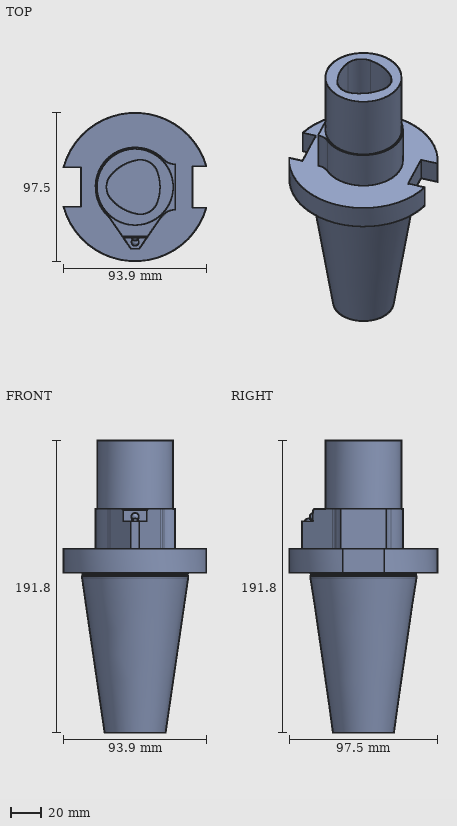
import cadquery as cq
import math


GAUGE_DIAMETER = 69.85
TAPER_RATIO = 7 / 24
TAPER_LENGTH = 101.75
COLLAR_HEIGHT = 0.9
GROOVE_DEPTH = 0.35
GROOVE_FLOOR_BOTTOM = 1.6
GROOVE_FLOOR_TOP = 2.6

FLANGE_DIAMETER = 97.5
FLANGE_BOTTOM = 3.2
FLANGE_TOP = 19.1
LEFT_SLOT_WIDTH = 25.7
LEFT_SLOT_FLOOR = 35.5
RIGHT_SLOT_WIDTH = 27.0
RIGHT_SLOT_FLOOR = 37.7

BODY_DIAMETER = 52.0
BODY_HEIGHT = 26.0
BODY_TOP = FLANGE_TOP + BODY_HEIGHT
BLEND_RADIUS = 10.0
LUG_REACH = 26.3
LUG_WIDTH = 30.0
NOSE_REACH = 40.4
NOSE_TIP_WIDTH = 5.6
NOSE_HALF_ANGLE = math.radians(34.5)

SEAT_FACE = 33.2
SEAT_FLOOR = FLANGE_TOP + 18.0
SEAT_CHAMFER = 1.0
BALL_RADIUS = 2.5
UPPER_BALL_CENTER = (0, -32.7, FLANGE_TOP + 20.9)
LOWER_BALL_CENTER = (0, -36.2, FLANGE_TOP + 17.2)

SLEEVE_DIAMETER = 50.0
SLEEVE_HEIGHT = 45.0
SLEEVE_TOP = BODY_TOP + SLEEVE_HEIGHT
SOCKET_LOBE_REACH = 18.8
SOCKET_FLANK_REACH = 16.4
SOCKET_LOBE_RADIUS = 11.8
SOCKET_DEPTH = 30.0


def cylinder(diameter, bottom, top):
    return cq.Workplane("XY", origin=(0, 0, bottom)).circle(diameter / 2).extrude(top - bottom)


def make_shank():
    gauge_radius = GAUGE_DIAMETER / 2
    end_radius = gauge_radius - TAPER_LENGTH * TAPER_RATIO / 2
    groove_radius = gauge_radius - GROOVE_DEPTH
    half_section = (
        cq.Workplane("XZ")
        .moveTo(0, -TAPER_LENGTH)
        .lineTo(end_radius, -TAPER_LENGTH)
        .lineTo(gauge_radius, 0)
        .lineTo(gauge_radius, COLLAR_HEIGHT)
        .lineTo(groove_radius, GROOVE_FLOOR_BOTTOM)
        .lineTo(groove_radius, GROOVE_FLOOR_TOP)
        .lineTo(gauge_radius, FLANGE_BOTTOM)
        .lineTo(0, FLANGE_BOTTOM)
        .close()
    )
    return half_section.revolve(360, (0, 0, 0), (0, 1, 0))


def drive_slot(floor, width, side):
    """Open-ended slot cutter on the -X (side = -1) or +X (side = 1) edge of the flange."""
    length = FLANGE_DIAMETER / 2
    return (
        cq.Workplane("XY", origin=(side * (floor + length / 2), 0, FLANGE_BOTTOM))
        .rect(length, width)
        .extrude(FLANGE_TOP - FLANGE_BOTTOM)
    )


def make_flange():
    flange = cylinder(FLANGE_DIAMETER, FLANGE_BOTTOM, FLANGE_TOP)
    flange = flange.cut(drive_slot(LEFT_SLOT_FLOOR, LEFT_SLOT_WIDTH, -1))
    return flange.cut(drive_slot(RIGHT_SLOT_FLOOR, RIGHT_SLOT_WIDTH, 1))


def make_nose():
    half_tip = NOSE_TIP_WIDTH / 2
    root_reach = BODY_DIAMETER / 4
    half_root = half_tip + (NOSE_REACH - root_reach) * math.tan(NOSE_HALF_ANGLE)
    outline = [
        (-half_tip, -NOSE_REACH),
        (half_tip, -NOSE_REACH),
        (half_root, -root_reach),
        (-half_root, -root_reach),
    ]
    return cq.Workplane("XY", origin=(0, 0, FLANGE_TOP)).polyline(outline).close().extrude(BODY_HEIGHT)


def body_corners():
    """Points where the lug sides and the nose flanks run into the round core."""
    radius = BODY_DIAMETER / 2
    half_lug = LUG_WIDTH / 2
    lug_x = math.sqrt(radius**2 - half_lug**2)
    flank_distance = (
        NOSE_TIP_WIDTH / 2 * math.cos(NOSE_HALF_ANGLE) + NOSE_REACH * math.sin(NOSE_HALF_ANGLE)
    )
    flank_angle = NOSE_HALF_ANGLE + math.acos(flank_distance / radius)
    flank_x = radius * math.cos(flank_angle)
    flank_y = -radius * math.sin(flank_angle)
    return [(lug_x, half_lug), (lug_x, -half_lug), (flank_x, flank_y), (-flank_x, flank_y)]


def seat_cutter():
    """Step removed from the nose tip, with a chamfered upper edge; profile in the YZ plane."""
    profile = [
        (-NOSE_REACH, SEAT_FLOOR),
        (-SEAT_FACE, SEAT_FLOOR),
        (-SEAT_FACE, BODY_TOP - SEAT_CHAMFER),
        (-SEAT_FACE + SEAT_CHAMFER, BODY_TOP),
        (-NOSE_REACH, BODY_TOP),
    ]
    return cq.Workplane("YZ").polyline(profile).close().extrude(BODY_DIAMETER / 2, both=True)


def make_body():
    lug = (
        cq.Workplane("XY", origin=(LUG_REACH / 2, 0, FLANGE_TOP))
        .rect(LUG_REACH, LUG_WIDTH)
        .extrude(BODY_HEIGHT)
    )
    body = cylinder(BODY_DIAMETER, FLANGE_TOP, BODY_TOP).union(lug).union(make_nose())
    middle_height = (FLANGE_TOP + BODY_TOP) / 2
    for x, y in body_corners():
        corner_edge = cq.selectors.NearestToPointSelector((x, y, middle_height))
        body = body.edges("|Z").edges(corner_edge).fillet(BLEND_RADIUS)
    body = body.cut(seat_cutter())
    for center in (UPPER_BALL_CENTER, LOWER_BALL_CENTER):
        body = body.union(cq.Workplane("XY", origin=center).sphere(BALL_RADIUS))
    return body


def polar(radius, angle):
    return (radius * math.cos(angle), radius * math.sin(angle))


def make_socket():
    """Three lobe arcs joined tangentially by three flatter flank arcs; one lobe points to -X."""
    lobe_offset = SOCKET_LOBE_REACH - SOCKET_LOBE_RADIUS
    reach_gap = SOCKET_FLANK_REACH - SOCKET_LOBE_RADIUS
    flank_offset = (lobe_offset**2 - reach_gap**2) / (2 * reach_gap - lobe_offset)
    flank_radius = SOCKET_FLANK_REACH + flank_offset
    lobe_step = math.pi / 3
    lobe_x, lobe_y = polar(lobe_offset, lobe_step)
    joint_normal = math.atan2(lobe_y, lobe_x + flank_offset)
    joint_x = flank_radius * math.cos(joint_normal) - flank_offset
    joint_y = flank_radius * math.sin(joint_normal)
    joint_radius = math.hypot(joint_x, joint_y)
    joint_angle = math.atan2(joint_y, joint_x)

    outline = cq.Workplane("XY", origin=(0, 0, SLEEVE_TOP)).moveTo(*polar(joint_radius, -joint_angle))
    for turn in range(3):
        flank = turn * 2 * lobe_step
        lobe = flank + lobe_step
        next_flank = lobe + lobe_step
        outline = outline.threePointArc(
            polar(SOCKET_FLANK_REACH, flank), polar(joint_radius, flank + joint_angle)
        ).threePointArc(
            polar(SOCKET_LOBE_REACH, lobe), polar(joint_radius, next_flank - joint_angle)
        )
    return outline.close().extrude(-SOCKET_DEPTH)


sleeve = cylinder(SLEEVE_DIAMETER, BODY_TOP, SLEEVE_TOP)
holder = make_shank().union(make_flange()).union(make_body()).union(sleeve)
result = holder.cut(make_socket())